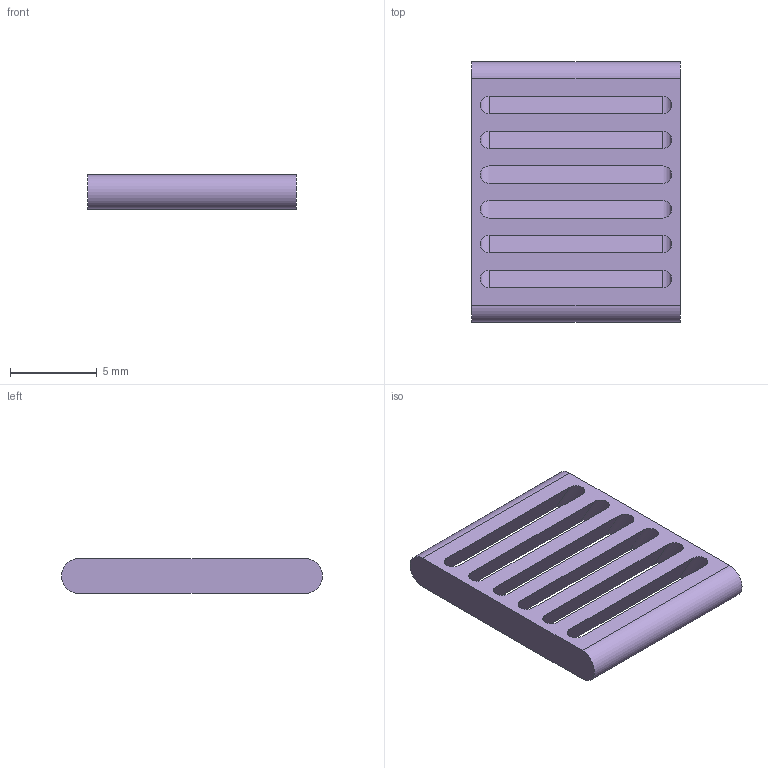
import cadquery as cq
import math

width = 12.0
length = 15.0
thickness = 2.0

slot_count = 6
slot_pitch = 2.0
slot_width = 1.0
end_wall = 0.5
slot_length = width - 2 * end_wall
slot_lean = 30.0
lean_shift = thickness * math.tan(math.radians(slot_lean))


def plate():
    """Flat bar with a stadium section in YZ, centred on X and Y and resting on Z = 0."""
    section = cq.Workplane("YZ", origin=(-width / 2, 0, thickness / 2))
    return section.slot2D(length, thickness).extrude(width)


def leaning_slot(y_top):
    """Slot cutter: a stadium on the top face swept straight down a slanted direction."""
    top_plane = cq.Workplane("XY", origin=(0, y_top, thickness))
    outline = top_plane.slot2D(slot_length, slot_width).val()
    direction = cq.Vector(0, lean_shift, -thickness)
    return cq.Solid.extrudeLinear(outline, [], direction)


result = plate()
for index in range(slot_count):
    y_top = (index - (slot_count - 1) / 2) * slot_pitch
    result = result.cut(cq.Workplane(leaning_slot(y_top)))